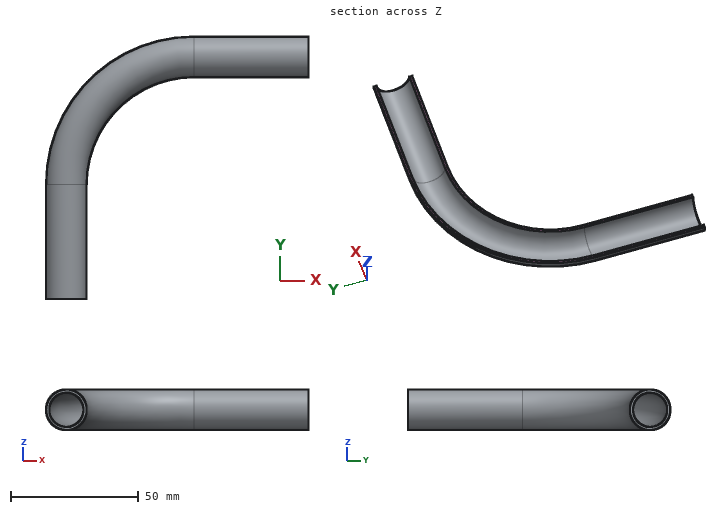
import cadquery as cq

outer_diameter = 16.0
wall_thickness = 1.3
bend_radius = 50.0
bend_angle = 90.0
leg_length = 45.0

outer_radius = outer_diameter / 2
inner_radius = outer_radius - wall_thickness


def tube_leg(end_plane):
    """Straight tube that starts on the given plane and runs along its normal."""
    return cq.Workplane(end_plane).circle(outer_radius).circle(inner_radius).extrude(leg_length)


def tube_bend():
    """Quarter bend from the origin, heading +Y, round to a heading of +X."""
    axis_start = (bend_radius, outer_radius, 0)
    axis_end = (bend_radius, 0, 0)
    return (
        cq.Workplane("XZ")
        .circle(outer_radius)
        .circle(inner_radius)
        .revolve(bend_angle, axis_start, axis_end)
    )


leg_along_y = tube_leg(cq.Plane(origin=(0, 0, 0), normal=(0, -1, 0)))
leg_along_x = tube_leg(cq.Plane(origin=(bend_radius, bend_radius, 0), xDir=(0, 1, 0), normal=(1, 0, 0)))

result = leg_along_y.union(tube_bend()).union(leg_along_x)